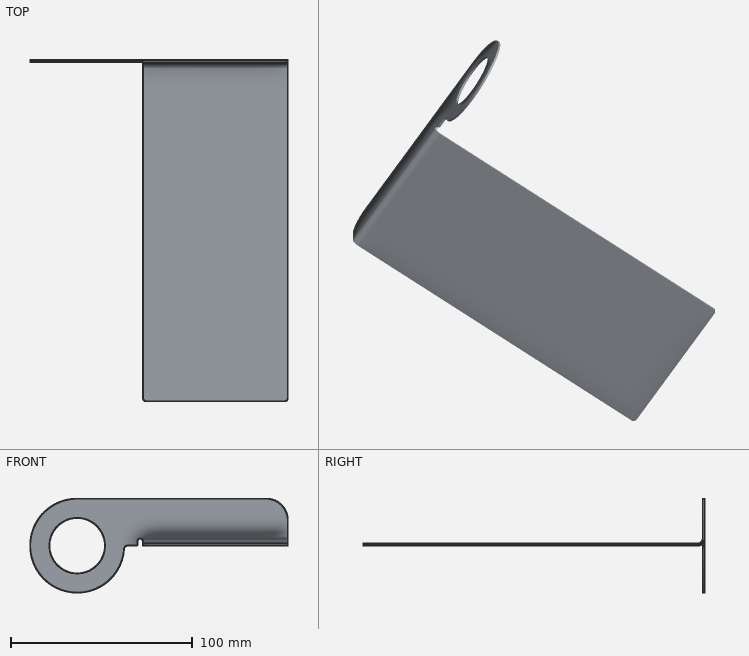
import cadquery as cq

total_width = 142.0
total_depth = 188.0
ring_radius = 26.0
hole_diameter = 30.5
sheet = 1.2
bend_inner_radius = 2.6
flange_width = 79.9
flange_tip_radius = 2.0
plate_corner_radius = 12.0
relief_width = 2.8
root_fillet = 1.9
tab_corner_radius = 1.0

right_x = total_width - ring_radius
flange_left_x = right_x - flange_width
slot_radius = relief_width / 2
slot_center_x = flange_left_x - slot_radius
bend_outer_radius = bend_inner_radius + sheet
flange_bottom_z = 0.0
bend_top_z = flange_bottom_z + bend_outer_radius


def make_plate():
    """Upright plate: ring, tab and web."""
    ring = cq.Workplane("XZ").circle(ring_radius).extrude(sheet)
    web = (
        cq.Workplane("XZ")
        .moveTo(0, 0)
        .lineTo(slot_center_x, 0)
        .lineTo(slot_center_x, bend_top_z)
        .lineTo(right_x, bend_top_z)
        .lineTo(right_x, ring_radius)
        .lineTo(0, ring_radius)
        .close()
        .extrude(sheet)
    )
    plate = ring.union(web)
    outer_corner = cq.NearestToPointSelector((right_x, -sheet / 2, ring_radius))
    plate = plate.edges(outer_corner).fillet(plate_corner_radius)
    ring_root = cq.NearestToPointSelector((ring_radius, -sheet / 2, 0))
    plate = plate.edges(ring_root).fillet(root_fillet)
    hole = cq.Workplane("XZ").circle(hole_diameter / 2).extrude(sheet)
    return plate.cut(hole)


def make_flange():
    """Horizontal flange with its bend; the bend starts over the middle of the relief slot."""
    flange_top_z = flange_bottom_z + sheet
    bend = (
        cq.Workplane("YZ", origin=(slot_center_x, 0, 0))
        .moveTo(0, bend_top_z)
        .radiusArc((-bend_outer_radius, flange_bottom_z), bend_outer_radius)
        .lineTo(-bend_outer_radius, flange_top_z)
        .radiusArc((-sheet, bend_top_z), -bend_inner_radius)
        .close()
        .extrude(right_x - slot_center_x)
    )
    flat = (
        cq.Workplane("XY", origin=(flange_left_x, -bend_outer_radius, flange_bottom_z))
        .rect(flange_width, bend_outer_radius - total_depth, centered=False)
        .extrude(sheet)
        .edges("|Z and <Y")
        .fillet(flange_tip_radius)
    )
    return bend.union(flat)


def make_relief_slot():
    """Round-topped slot that separates the ring tab from the bend."""
    arch_z = bend_top_z - slot_radius
    return (
        cq.Workplane("XZ")
        .moveTo(slot_center_x - slot_radius, flange_bottom_z)
        .lineTo(slot_center_x - slot_radius, arch_z)
        .threePointArc((slot_center_x, bend_top_z), (flange_left_x, arch_z))
        .lineTo(flange_left_x, flange_bottom_z)
        .close()
        .extrude(bend_outer_radius)
    )


bracket = make_plate().union(make_flange()).cut(make_relief_slot())
tab_corner = cq.NearestToPointSelector((slot_center_x - slot_radius, -sheet / 2, 0))
result = bracket.edges(tab_corner).fillet(tab_corner_radius).solids()